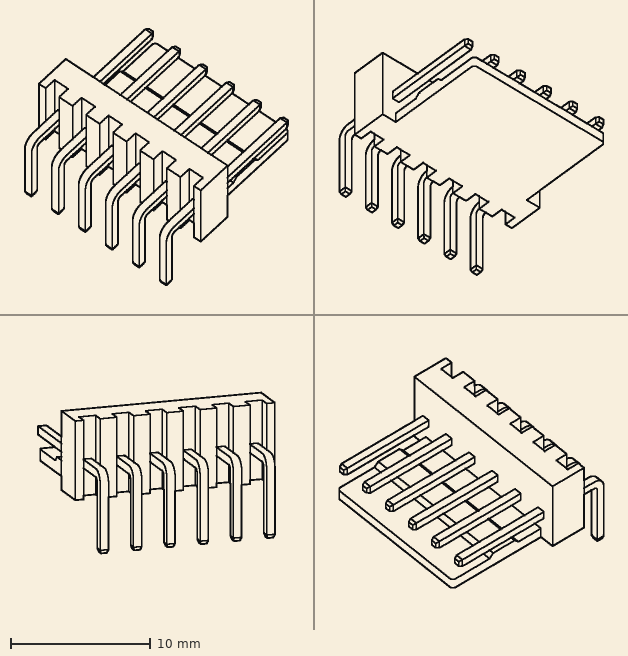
import cadquery as cq


pin_count = 6
pitch = 2.54

housing_depth = 3.0
housing_height = 5.9
slot_depth = 1.0

tab_length = 8.4
tab_thickness = 0.85
tab_corner_radius = 0.3
rib_height = 0.35
rib_start = 2.15
rib_base_length = 2.73

pin_size = 0.64
pin_center_height = 2.4
pin_front_reach = 8.0
pin_back_reach = 2.7
pin_drop = 3.4
bend_inner_radius = 0.3
tip_length = 0.27
tip_inset = 0.1

housing_width = pin_count * pitch
slot_width = pitch / 2
tab_width = (pin_count - 1) * pitch
pin_positions = [(i - (pin_count - 1) / 2) * pitch for i in range(pin_count)]
pin_top = pin_center_height + pin_size / 2
pin_bottom = pin_center_height - pin_size / 2
pin_back = -housing_depth - pin_back_reach
bend_outer_radius = bend_inner_radius + pin_size


def make_housing():
    """Block with a full-height slot in its back face at every pin."""
    housing = cq.Workplane("XY").box(
        housing_width, housing_depth, housing_height, centered=(True, False, False)
    ).translate((0, -housing_depth, 0))
    for x in pin_positions:
        slot = cq.Workplane("XY").box(
            slot_width, slot_depth, housing_height, centered=(True, False, False)
        )
        housing = housing.cut(slot.translate((x, -housing_depth, 0)))
    return housing


def make_tab():
    """Flat tab with rounded free corners and a 45-degree sided rib across it."""
    rib_end = rib_start + rib_base_length
    rib_top = tab_thickness + rib_height
    tab = (
        cq.Workplane("YZ")
        .moveTo(0, 0)
        .lineTo(tab_length, 0)
        .lineTo(tab_length, tab_thickness)
        .lineTo(rib_end, tab_thickness)
        .lineTo(rib_end - rib_height, rib_top)
        .lineTo(rib_start + rib_height, rib_top)
        .lineTo(rib_start, tab_thickness)
        .lineTo(0, tab_thickness)
        .close()
        .extrude(tab_width / 2, both=True)
    )
    return tab.edges("|Z and >Y").fillet(tab_corner_radius)


def make_tip(end_plane):
    """Tapered pin end grown outwards from the given end plane."""
    tip_size = pin_size - 2 * tip_inset
    return (
        cq.Workplane(end_plane)
        .rect(pin_size, pin_size)
        .workplane(offset=tip_length)
        .rect(tip_size, tip_size)
        .loft(ruled=True, combine=False)
    )


def make_pin():
    """Square pin bent down behind the housing, tapered at both ends."""
    front_end = pin_front_reach - tip_length
    lower_end = -pin_drop + tip_length
    bar = (
        cq.Workplane("YZ")
        .moveTo(front_end, pin_top)
        .lineTo(pin_back, pin_top)
        .lineTo(pin_back, lower_end)
        .lineTo(pin_back + pin_size, lower_end)
        .lineTo(pin_back + pin_size, pin_bottom)
        .lineTo(front_end, pin_bottom)
        .close()
        .extrude(pin_size / 2, both=True)
    )
    inner_corner = cq.selectors.NearestToPointSelector((0, pin_back + pin_size, pin_bottom))
    outer_corner = cq.selectors.NearestToPointSelector((0, pin_back, pin_top))
    bar = bar.edges("|X").edges(inner_corner).fillet(bend_inner_radius)
    bar = bar.edges("|X").edges(outer_corner).fillet(bend_outer_radius)

    front_plane = cq.Plane((0, front_end, pin_center_height), xDir=(1, 0, 0), normal=(0, 1, 0))
    lower_plane = cq.Plane((0, pin_back + pin_size / 2, lower_end), xDir=(1, 0, 0), normal=(0, 0, -1))
    return bar.union(make_tip(front_plane)).union(make_tip(lower_plane))


result = make_housing().union(make_tab())
pin = make_pin()
for pin_x in pin_positions:
    result = result.union(pin.translate((pin_x, 0, 0)))